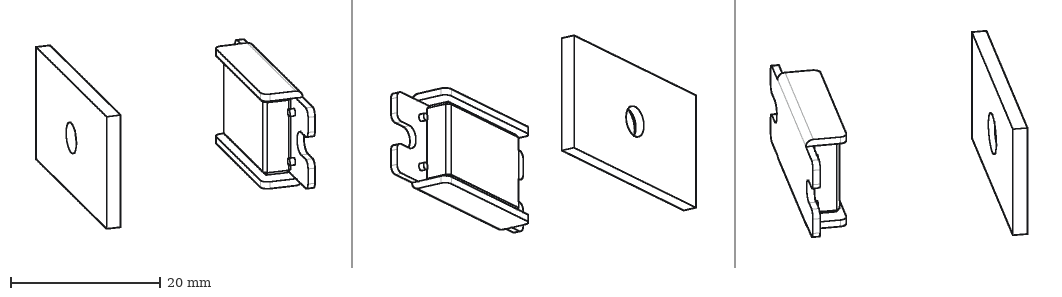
import cadquery as cq

overall_depth = 29.38

plate_length = 29.0
plate_thickness = 2.0
plate_height = 16.0
plate_hole_diameter = 4.2
countersink_diameter = 5.6
countersink_angle = 90.0

sheet = 1.0
bracket_height = 13.5
flange_length = 20.0
flange_depth = 5.7
bend_radius = sheet
corner_radius = 1.0
web_length = 30.0
web_height = bracket_height - 2 * sheet
slot_width = 3.2
slot_center_x = 12.1
slot_radius = slot_width / 2

peg_diameter = 1.0
peg_height = 0.75
peg_spacing_x = 18.6
peg_spacing_z = 7.0

block_length = 17.0
block_depth = 4.0
block_height = 11.0
block_chamfer = 0.5


def make_channel():
    """U-shaped channel, open towards -Y, with rounded bends and flange corners."""
    channel = (
        cq.Workplane("XY")
        .box(flange_length, flange_depth, bracket_height, centered=(True, False, True))
        .translate((0, -flange_depth, 0))
        .edges("|X and >Y")
        .fillet(bend_radius)
        .edges("|Z and <Y")
        .fillet(corner_radius)
    )
    cavity = (
        cq.Workplane("XY")
        .box(flange_length, flange_depth, web_height, centered=(True, False, True))
        .translate((0, -flange_depth - sheet, 0))
    )
    return channel.cut(cavity)


def make_web():
    """Flat back plate with an open-ended slot in each end, all outer corners rounded."""
    web = (
        cq.Workplane("XZ")
        .rect(web_length, web_height)
        .extrude(sheet)
    )
    slot_run = web_length / 2 - slot_center_x
    for side in (-1, 1):
        mouth = (
            cq.Workplane("XZ")
            .center(side * (slot_center_x + slot_run / 2), 0)
            .rect(slot_run, slot_width)
            .extrude(sheet)
        )
        round_end = cq.Workplane("XZ").center(side * slot_center_x, 0).circle(slot_radius).extrude(sheet)
        web = web.cut(mouth).cut(round_end)
    for end_face in ("<X", ">X"):
        web = web.faces(end_face).edges("|Y").fillet(corner_radius)
    return web


def make_pegs():
    """Four round pegs standing on the front of the web, two beside each end of the block."""
    return (
        cq.Workplane("XZ", origin=(0, -sheet, 0))
        .rect(peg_spacing_x, peg_spacing_z, forConstruction=True)
        .vertices()
        .circle(peg_diameter / 2)
        .extrude(peg_height)
    )


def make_bracket():
    return make_channel().union(make_web()).union(make_pegs())


def make_block():
    """Rectangular block with all edges chamfered, seated against the web."""
    return (
        cq.Workplane("XY")
        .box(block_length, block_depth, block_height)
        .edges()
        .chamfer(block_chamfer)
        .translate((0, -sheet - block_depth / 2, 0))
    )


def make_plate():
    """Flat plate in front of the bracket; its central hole is countersunk on the side facing the block."""
    return (
        cq.Workplane("XY")
        .box(plate_length, plate_thickness, plate_height)
        .translate((0, plate_thickness / 2 - overall_depth, 0))
        .faces(">Y")
        .workplane(centerOption="CenterOfBoundBox")
        .cskHole(plate_hole_diameter, countersink_diameter, countersink_angle)
    )


bracket = make_bracket()
block = make_block()
plate = make_plate()

result = cq.Compound.makeCompound([bracket.val(), block.val(), plate.val()])